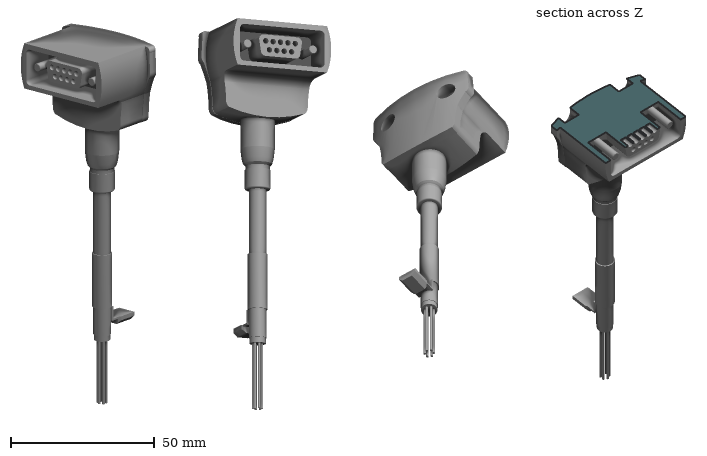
import cadquery as cq
import math

TOTAL_LENGTH = 133.4
HOUSING_FRONT_Y = -21.9
HOUSING_REAR_Y = 8.8
HOUSING_BOTTOM_Z = -31.1

HOOD_HEIGHT = 16.5
ENTRY_FRONT_Y = -8.3
STEP_FILLET = 3.2
HOOD_TOP_HALF = 17.0
HOOD_SIDE_HALF = 18.5
ENTRY_HALF_TOP = 16.4
ENTRY_HALF_MID = 15.7
ENTRY_HALF_BOTTOM = 15.5
ENTRY_TOP_Z = -17.7
CORNER_TOP_Z = -26.5
ENTRY_MID_Z = (ENTRY_TOP_Z + CORNER_TOP_Z) / 2
CORNER_BOTTOM_Z = -28.7
CORNER_INSET = 1.1

REAR_RADIUS = 58.0
FLANGE_THICKNESS = 3.1
FLANGE_HALF = 20.48
FLANGE_TOP_HALF = 18.7
FLANGE_SHOULDER_HALF = 20
FLANGE_SHOULDER_Z = -1.7
FLANGE_WIDEST_Z = -9.0
FLANGE_EAR_HALF = 19.3
FLANGE_EAR_Z = -11.5
FLANGE_NECK_HALF = 17.9
FLANGE_NECK_Z = -14.5
FLANGE_LIP = 0.2

CONNECTOR_Z = -8.4
POCKET_WIDTH = 32
POCKET_HEIGHT = 13.1
POCKET_DEPTH = 12
POCKET_CORNER = 1.6
BLOCK_TOP_HALF = 8.4
BLOCK_BOTTOM_HALF = 7.2
BLOCK_HEIGHT = 7.6
BLOCK_CORNER = 1.7
BLOCK_LENGTH = 10.4
SOCKET_DIAMETER = 2.0
TOP_ROW_SOCKETS = 5
BOTTOM_ROW_SOCKETS = 4
SOCKET_PITCH = 2.8
SOCKET_ROW_GAP = 3.1
SOCKET_DEPTH = 4
SCREW_OFFSET = 12.4
SCREW_DIAMETER = 3.0
SCREW_CHAMFER = 0.2
SCREW_LENGTH = 10.4
RECESS_DIAMETER = 7.0
RECESS_FLOOR_Y = 3.3

BOOT_DIAMETER = 12
BOOT_TOP_Z = -26.7
BOOT_TAPER_Z = -41.1
BOOT_END_Z = -46.3
BOOT_END_DIAMETER = 10.1
NECK_DIAMETER = 8.5
NECK_TOP_Z = -47.1
COLLAR_DIAMETER = 9.0
COLLAR_TOP_Z = -48.4
COLLAR_BOTTOM_Z = -55.5
COLLAR_FILLET = 0.5
CABLE_DIAMETER = 6.1
CABLE_END_Z = -108.2
FERRULE_DIAMETER = 5.7
FERRULE_END_Z = -110.2
SLEEVE_DIAMETER = 7.0
SLEEVE_TOP_Z = -78.5
SLEEVE_BOTTOM_Z = -98.0

STRAP_FRONT_Y = 1.9
STRAP_BOTTOM_Z = -103.3
STRAP_THICKNESS = 0.7
STRAP_END_Y = 13.2
TERMINAL_LENGTH = 7.7
TERMINAL_HEIGHT = 3.0
TERMINAL_CHAMFER = 1.5
TERMINAL_END_CHAMFER = 0.8

WIRE_DIAMETER = 0.9
WIRE_COUNT = 6
WIRE_RING_RADIUS = 1.53


def disc(diameter, top_z, bottom_z):
    """Round bar on the cable axis."""
    return cq.Workplane("XY").workplane(offset=bottom_z).circle(diameter / 2).extrude(top_z - bottom_z)


def front_plane(y):
    """XZ plane at the given Y; its extrusions run toward -Y."""
    return cq.Workplane("XZ", origin=(0, y, 0))


def arc_prism(radius):
    """Vertical cylinder sharing the axis of the curved rear face."""
    axis_y = HOUSING_REAR_Y - REAR_RADIUS
    return (
        cq.Workplane("XY", origin=(0, axis_y, HOUSING_BOTTOM_Z))
        .circle(radius)
        .extrude(-HOUSING_BOTTOM_Z)
    )


def close_bottom(outline, corner_half):
    """Finish a right-hand half outline with the rounded corner and the bowed bottom edge."""
    corner_end = corner_half - CORNER_INSET
    bow = CORNER_BOTTOM_Z - HOUSING_BOTTOM_Z
    bow_radius = (corner_end**2 + bow**2) / (2 * bow)
    return (
        outline.tangentArcPoint((corner_end, CORNER_BOTTOM_Z), relative=False)
        .radiusArc((0, HOUSING_BOTTOM_Z), bow_radius)
        .lineTo(0, 0)
        .close()
    )


def both_sides(half):
    """Join a half solid with its mirror image across the YZ plane."""
    return half.union(half.mirror("YZ"))


def body():
    length = HOUSING_REAR_Y - HOUSING_FRONT_Y
    outline = (
        front_plane(HOUSING_REAR_Y)
        .moveTo(0, 0)
        .lineTo(HOOD_TOP_HALF, 0)
        .threePointArc((HOOD_SIDE_HALF, -HOOD_HEIGHT / 2), (ENTRY_HALF_TOP, ENTRY_TOP_Z))
        .threePointArc((ENTRY_HALF_MID, ENTRY_MID_Z), (ENTRY_HALF_BOTTOM, CORNER_TOP_Z))
    )
    solid = both_sides(close_bottom(outline, ENTRY_HALF_BOTTOM).extrude(length))
    side = (
        cq.Workplane("YZ")
        .moveTo(HOUSING_FRONT_Y, 0)
        .lineTo(HOUSING_REAR_Y, 0)
        .lineTo(HOUSING_REAR_Y, HOUSING_BOTTOM_Z)
        .lineTo(ENTRY_FRONT_Y, HOUSING_BOTTOM_Z)
        .lineTo(ENTRY_FRONT_Y, -HOOD_HEIGHT - STEP_FILLET)
        .radiusArc((ENTRY_FRONT_Y - STEP_FILLET, -HOOD_HEIGHT), -STEP_FILLET)
        .lineTo(HOUSING_FRONT_Y, -HOOD_HEIGHT)
        .close()
        .extrude(FLANGE_HALF, both=True)
    )
    return solid.intersect(side).intersect(arc_prism(REAR_RADIUS))


def flange():
    low_half = ENTRY_HALF_BOTTOM + FLANGE_LIP
    outline = (
        front_plane(HOUSING_REAR_Y)
        .moveTo(0, 0)
        .lineTo(FLANGE_TOP_HALF, 0)
        .tangentArcPoint((FLANGE_SHOULDER_HALF, FLANGE_SHOULDER_Z), relative=False)
        .lineTo(FLANGE_HALF, FLANGE_WIDEST_Z)
        .tangentArcPoint((FLANGE_EAR_HALF, FLANGE_EAR_Z), relative=False)
        .threePointArc((FLANGE_NECK_HALF, FLANGE_NECK_Z), (ENTRY_HALF_TOP + FLANGE_LIP, ENTRY_TOP_Z))
        .threePointArc((ENTRY_HALF_MID + FLANGE_LIP, ENTRY_MID_Z), (low_half, CORNER_TOP_Z))
    )
    solid = both_sides(close_bottom(outline, low_half).extrude(HOUSING_REAR_Y - HOUSING_FRONT_Y))
    shell = arc_prism(REAR_RADIUS).cut(arc_prism(REAR_RADIUS - FLANGE_THICKNESS))
    return solid.intersect(shell)


def pocket():
    return (
        front_plane(HOUSING_FRONT_Y + POCKET_DEPTH)
        .center(0, CONNECTOR_Z)
        .rect(POCKET_WIDTH, POCKET_HEIGHT)
        .extrude(POCKET_DEPTH)
        .edges("|Y")
        .fillet(POCKET_CORNER)
    )


def socket_block():
    half_height = BLOCK_HEIGHT / 2
    block = (
        front_plane(HOUSING_FRONT_Y + POCKET_DEPTH)
        .center(0, CONNECTOR_Z)
        .polyline([
            (-BLOCK_TOP_HALF, half_height),
            (BLOCK_TOP_HALF, half_height),
            (BLOCK_BOTTOM_HALF, -half_height),
            (-BLOCK_BOTTOM_HALF, -half_height),
        ])
        .close()
        .extrude(BLOCK_LENGTH)
        .edges("|Y")
        .fillet(BLOCK_CORNER)
    )
    holes = []
    rows = ((TOP_ROW_SOCKETS, SOCKET_ROW_GAP / 2), (BOTTOM_ROW_SOCKETS, -SOCKET_ROW_GAP / 2))
    for count, row_z in rows:
        for i in range(count):
            holes.append(((i - (count - 1) / 2) * SOCKET_PITCH, row_z))
    block_front_y = HOUSING_FRONT_Y + POCKET_DEPTH - BLOCK_LENGTH
    sockets = (
        front_plane(block_front_y)
        .center(0, CONNECTOR_Z)
        .pushPoints(holes)
        .circle(SOCKET_DIAMETER / 2)
        .extrude(-SOCKET_DEPTH)
    )
    return block.cut(sockets)


def screw_places(y):
    return front_plane(y).pushPoints([(-SCREW_OFFSET, CONNECTOR_Z), (SCREW_OFFSET, CONNECTOR_Z)])


def jack_screws():
    screws = screw_places(HOUSING_FRONT_Y + POCKET_DEPTH).circle(SCREW_DIAMETER / 2).extrude(SCREW_LENGTH)
    return screws.faces("<Y").chamfer(SCREW_CHAMFER)


def screw_recesses():
    return screw_places(HOUSING_REAR_Y).circle(RECESS_DIAMETER / 2).extrude(HOUSING_REAR_Y - RECESS_FLOOR_Y)


def bend_relief():
    boot_radius = BOOT_DIAMETER / 2
    end_radius = BOOT_END_DIAMETER / 2
    neck_radius = NECK_DIAMETER / 2
    boot = (
        cq.Workplane("XZ")
        .moveTo(0, BOOT_TOP_Z)
        .lineTo(boot_radius, BOOT_TOP_Z)
        .lineTo(boot_radius, BOOT_TAPER_Z)
        .tangentArcPoint((end_radius, BOOT_END_Z), relative=False)
        .lineTo(neck_radius, NECK_TOP_Z)
        .lineTo(neck_radius, COLLAR_TOP_Z)
        .lineTo(0, COLLAR_TOP_Z)
        .close()
        .revolve(360, (0, 0, 0), (0, 1, 0))
    )
    collar = disc(COLLAR_DIAMETER, COLLAR_TOP_Z, COLLAR_BOTTOM_Z).faces("<Z").edges().fillet(COLLAR_FILLET)
    return boot.union(collar)


def cable():
    jacket = disc(CABLE_DIAMETER, COLLAR_TOP_Z, CABLE_END_Z)
    ferrule = disc(FERRULE_DIAMETER, CABLE_END_Z, FERRULE_END_Z)
    sleeve = disc(SLEEVE_DIAMETER, SLEEVE_TOP_Z, SLEEVE_BOTTOM_Z)
    return jacket.union(ferrule).union(sleeve)


def shield_strap():
    """Half shell and flat strip below the sleeve, bent out to the rear and ending in a flat terminal."""
    behind = cq.Workplane("XY", origin=(0, STRAP_FRONT_Y, STRAP_BOTTOM_Z))
    strap_height = SLEEVE_BOTTOM_Z - STRAP_BOTTOM_Z
    limits = behind.box(SLEEVE_DIAMETER, SLEEVE_DIAMETER, strap_height, centered=(True, False, False))
    half_shell = disc(SLEEVE_DIAMETER, SLEEVE_BOTTOM_Z, STRAP_BOTTOM_Z).intersect(limits)
    strip = behind.box(CABLE_DIAMETER, STRAP_THICKNESS, strap_height, centered=(True, False, False))
    tongue_length = STRAP_END_Y - STRAP_FRONT_Y
    tongue = behind.box(CABLE_DIAMETER, tongue_length, STRAP_THICKNESS, centered=(True, False, False))
    terminal_front_y = STRAP_END_Y - TERMINAL_LENGTH
    terminal_bottom_z = STRAP_BOTTOM_Z + STRAP_THICKNESS - TERMINAL_HEIGHT
    terminal = (
        cq.Workplane("XY", origin=(0, terminal_front_y, terminal_bottom_z))
        .box(SLEEVE_DIAMETER, TERMINAL_LENGTH, TERMINAL_HEIGHT, centered=(True, False, False))
        .edges("|Y and <Z")
        .chamfer(TERMINAL_CHAMFER)
        .edges("|Z and <Y")
        .chamfer(TERMINAL_END_CHAMFER)
    )
    return half_shell.union(strip).union(tongue).union(terminal)


def wires():
    wire = disc(WIRE_DIAMETER, FERRULE_END_Z, -TOTAL_LENGTH)
    bundle = cq.Workplane("XY")
    for i in range(WIRE_COUNT):
        angle = math.radians(90 + i * 360 / WIRE_COUNT)
        place = (WIRE_RING_RADIUS * math.cos(angle), WIRE_RING_RADIUS * math.sin(angle), 0)
        bundle = bundle.add(wire.translate(place))
    return bundle.combine()


housing = body().union(flange()).cut(pocket()).cut(screw_recesses())
housing = housing.union(socket_block()).union(jack_screws())
lead = bend_relief().union(cable()).union(shield_strap()).union(wires())
result = housing.union(lead)